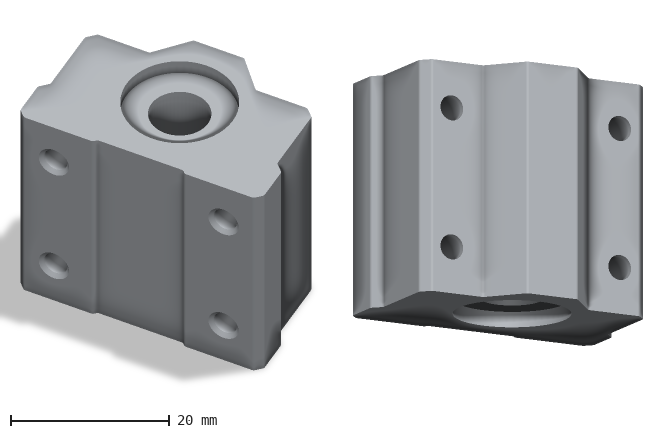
import cadquery as cq

width = 34.5
depth = 22.25
height = 30.0

body_width = 32.1
shoulder_y = 17.75
shoulder_chamfer = 1.2
crown_top_width = 7.18
crown_base_width = 15.05
flange_side_top = 5.8
foot_chamfer = 1.0
relief_width = 12.08
relief_depth = 0.5
corner_radius = 0.5

bore_y = 11.4
bore_diameter = 8.0
recess_diameter = 15.0
recess_depth = 2.0

hole_diameter = 3.25
hole_chamfer = 0.52
hole_spacing_x = 24.0
hole_spacing_z = 18.0


def make_body():
    """Extrude the symmetric cross-section and round its lengthwise edges."""
    half_width = width / 2
    half_body = body_width / 2
    half_relief = relief_width / 2
    flange_step = half_width - half_body
    right_side = [
        (half_relief, relief_depth),
        (half_relief + relief_depth, 0),
        (half_width - foot_chamfer, 0),
        (half_width, foot_chamfer),
        (half_width, flange_side_top),
        (half_body, flange_side_top + flange_step),
        (half_body, shoulder_y - shoulder_chamfer),
        (half_body - shoulder_chamfer, shoulder_y),
        (crown_base_width / 2, shoulder_y),
        (crown_top_width / 2, depth),
    ]
    left_side = [(-x, y) for x, y in reversed(right_side)]
    body = cq.Workplane("XY").polyline(right_side + left_side).close().extrude(height)
    return body.edges("|Z").fillet(corner_radius)


def cylinder_along_z(diameter, bottom, length):
    return (
        cq.Workplane("XY", origin=(0, bore_y, bottom))
        .circle(diameter / 2)
        .extrude(length)
    )


def make_mounting_hole(x, z):
    """Through hole along Y with a 45 degree chamfer at the mounting face."""
    radius = hole_diameter / 2
    axis_start = cq.Vector(x, 0, z)
    along_y = cq.Vector(0, 1, 0)
    shank = cq.Solid.makeCylinder(radius, depth, axis_start, along_y)
    mouth = cq.Solid.makeCone(radius + hole_chamfer, radius, hole_chamfer, axis_start, along_y)
    return shank.fuse(mouth)


result = make_body()

result = result.cut(cylinder_along_z(bore_diameter, 0, height))
for recess_bottom in (0, height - recess_depth):
    result = result.cut(cylinder_along_z(recess_diameter, recess_bottom, recess_depth))

for x_side in (-1, 1):
    for z_side in (-1, 1):
        hole_x = x_side * hole_spacing_x / 2
        hole_z = height / 2 + z_side * hole_spacing_z / 2
        result = result.cut(cq.Workplane(make_mounting_hole(hole_x, hole_z)))